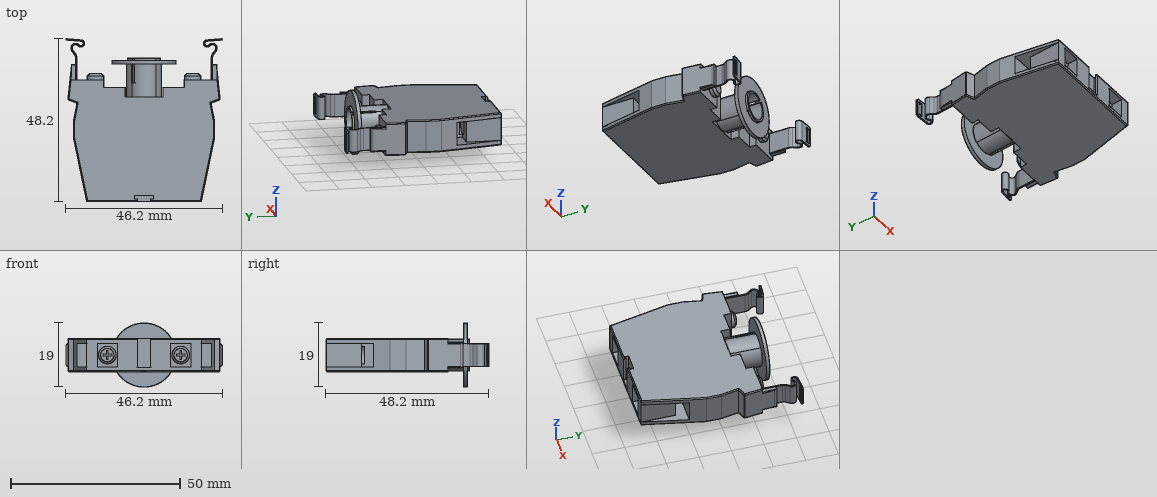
import cadquery as cq
import math

HALF_HEIGHT = 4.95
FRONT_HALF_WIDTH = 16.95
WAIST_HALF_WIDTH = 20.9
WAIST_FRONT_Y = 18.95
WAIST_REAR_Y = 23.6
NECK_HALF_WIDTH = 19.85
NECK_Y = 29.1
SHOULDER_HALF_WIDTH = 22.55
SHOULDER_Y = 30.1
SHOULDER_CHAMFER = 0.2
REAR_HALF_WIDTH = 21.9
REAR_Y = 36.0
EDGE_CHAMFER = 0.35

RECESS_HALF_WIDTH = 11.85
RECESS_Y = 33.7
NOTCH_HALF_WIDTH = 5.55
NOTCH_Y = 30.95

EAR_INNER_X = 20.3
EAR_TIP_Y = 40.45
EAR_TIP_FLAT = 0.67
EAR_HALF_HEIGHT = 3.6
EAR_CHAMFER = 0.3
SIDE_LEAN = (SHOULDER_HALF_WIDTH - REAR_HALF_WIDTH) / (REAR_Y - SHOULDER_Y)
EAR_TIP_X = REAR_HALF_WIDTH - SIDE_LEAN * (EAR_TIP_Y - EAR_TIP_FLAT - REAR_Y)

STUD_X = 14.35
STUD_RADIUS = 2.45
STUD_HEIGHT = 1.9
STUD_CHAMFER = 0.7

T_NECK_HALF_WIDTH = 1.97
T_HEAD_HALF_WIDTH = 2.75
T_NECK_DEPTH = 0.7
T_DEPTH = 1.8
T_FLOOR_Z = -3.65

POCKET_HALF_HEIGHT = 3.45
POCKET_INNER_X = 7.9
POCKET_OUTER_X = 13.82
POCKET_DEPTH = 3.4
SCREW_X = (POCKET_INNER_X + POCKET_OUTER_X) / 2
SCREW_RADIUS = 2.6
SCREW_HOLE_END_Y = 11.4
WIRE_WINDOW_Y = 10.5
WIRE_POCKET_END_Y = 14.0

SCREW_FRONT_Y = 6.75
SCREW_CHAMFER = 0.65
CROSS_LENGTH = 2.65
CROSS_WIDTH = 0.55
CROSS_DEPTH = 0.7

TUBE_SIDE_RADIUS = 5.2
TUBE_NECK_RADIUS = 4.85
TUBE_CENTRE_RADIUS = 4.7
TUBE_CENTRE_HALF_WIDTH = 3.5
TUBE_BORE_RADIUS = 4.15
TUBE_END_Y = 42.4
TUBE_SLOT_WIDTH = 0.75
TUBE_SLOT_START_Y = 35.0
TUBE_SLOT_TILT = 45
DISC_RADIUS = 9.5
DISC_FRONT_Y = 40.65
DISC_THICKNESS = 1.1

CLIP_THICKNESS = 0.45
CLIP_HALF_HEIGHT = 3.4
CLIP_KINK_Y = 43.05
KINK_REACH = 0.6
BEND_RADIUS = 1.2
BEND_X = 20.25
BEND_Y = 45.4
HOOK_RADIUS = 0.85
HOOK_ANGLE = 139.5
TIP_SLOPE = 4.5
TIP_X = 23.1
TIP_CHAMFER = 0.55
WINDOW_START = 0.75
WINDOW_LENGTH = 1.3
WINDOW_HALF_HEIGHT = 2.45


def block(x_range, y_range, z_range):
    """Box between the given pairs of limits."""
    (x0, x1), (y0, y1), (z0, z1) = x_range, y_range, z_range
    return cq.Workplane("XY").box(x1 - x0, y1 - y0, z1 - z0, centered=False).translate((x0, y0, z0))


def y_cylinder(radius, start_y, end_y, x=0):
    """Cylinder along +Y between two Y positions, at Z = 0."""
    plane = cq.Workplane("XZ", origin=(x, start_y, 0))
    return plane.circle(radius).extrude(-(end_y - start_y))


def both_sides(right_hand):
    """A right-hand shape together with its mirror image about X = 0."""
    return [right_hand, right_hand.mirror("YZ")]


def housing_block():
    right_side = [
        (FRONT_HALF_WIDTH, 0),
        (WAIST_HALF_WIDTH, WAIST_FRONT_Y),
        (WAIST_HALF_WIDTH, WAIST_REAR_Y),
        (NECK_HALF_WIDTH, NECK_Y),
        (SHOULDER_HALF_WIDTH, SHOULDER_Y),
        (REAR_HALF_WIDTH, REAR_Y),
    ]
    left_side = [(-x, y) for x, y in reversed(right_side)]
    body = cq.Workplane("XY").polyline(right_side + left_side).close()
    body = body.extrude(HALF_HEIGHT, both=True)
    for corner_x in (-SHOULDER_HALF_WIDTH, SHOULDER_HALF_WIDTH):
        corner = cq.selectors.NearestToPointSelector((corner_x, SHOULDER_Y, 0))
        body = body.edges(corner).chamfer(SHOULDER_CHAMFER)
    body = body.faces("|Z").edges("not >Y").chamfer(EDGE_CHAMFER)
    z_range = (-HALF_HEIGHT, HALF_HEIGHT)
    body = body.cut(block((-RECESS_HALF_WIDTH, RECESS_HALF_WIDTH), (RECESS_Y, REAR_Y), z_range))
    return body.cut(block((-NOTCH_HALF_WIDTH, NOTCH_HALF_WIDTH), (NOTCH_Y, RECESS_Y), z_range))


def ear():
    outline = [
        (EAR_INNER_X, REAR_Y),
        (REAR_HALF_WIDTH, REAR_Y),
        (EAR_TIP_X, EAR_TIP_Y - EAR_TIP_FLAT),
        (EAR_TIP_X, EAR_TIP_Y),
        (EAR_INNER_X, EAR_TIP_Y),
    ]
    plate = cq.Workplane("XY").polyline(outline).close().extrude(EAR_HALF_HEIGHT, both=True)
    outer_middle_x = (REAR_HALF_WIDTH + EAR_TIP_X) / 2
    outer_middle_y = (REAR_Y + EAR_TIP_Y - EAR_TIP_FLAT) / 2
    for z in (-EAR_HALF_HEIGHT, EAR_HALF_HEIGHT):
        nearest = cq.selectors.NearestToPointSelector((outer_middle_x, outer_middle_y, z))
        plate = plate.edges(nearest).chamfer(EAR_CHAMFER)
    return plate


def stud():
    return y_cylinder(STUD_RADIUS, REAR_Y, REAR_Y + STUD_HEIGHT, STUD_X).faces(">Y").chamfer(STUD_CHAMFER)


def t_slot():
    z_range = (T_FLOOR_Z, HALF_HEIGHT)
    neck = block((-T_NECK_HALF_WIDTH, T_NECK_HALF_WIDTH), (0, T_DEPTH), z_range)
    head = block((-T_HEAD_HALF_WIDTH, T_HEAD_HALF_WIDTH), (T_NECK_DEPTH, T_DEPTH), z_range)
    return neck.union(head)


def terminal_cutout():
    """Screw pocket, screw hole and the side wire pocket that breaks into the hole."""
    z_range = (-POCKET_HALF_HEIGHT, POCKET_HALF_HEIGHT)
    pocket = block((POCKET_INNER_X, POCKET_OUTER_X), (0, POCKET_DEPTH), z_range)
    hole = y_cylinder(SCREW_RADIUS, POCKET_DEPTH, SCREW_HOLE_END_Y, SCREW_X)
    side = block((FRONT_HALF_WIDTH, WAIST_HALF_WIDTH), (0, WIRE_POCKET_END_Y), z_range)
    window = block((SCREW_X, WAIST_HALF_WIDTH), (WIRE_WINDOW_Y, WIRE_POCKET_END_Y), z_range)
    return pocket.union(hole).union(side.union(window))


def make_housing():
    body = housing_block().cut(t_slot())
    for added in both_sides(ear()) + both_sides(stud()):
        body = body.union(added)
    for removed in both_sides(terminal_cutout()):
        body = body.cut(removed)
    return body


def make_screw():
    head = y_cylinder(SCREW_RADIUS, SCREW_FRONT_Y, WIRE_WINDOW_Y, SCREW_X).faces("<Y").chamfer(SCREW_CHAMFER)
    face = cq.Workplane("XZ", origin=(SCREW_X, SCREW_FRONT_Y, 0))
    for width, height in ((CROSS_LENGTH, CROSS_WIDTH), (CROSS_WIDTH, CROSS_LENGTH)):
        head = head.cut(face.rect(width, height).extrude(-CROSS_DEPTH))
    return head


def make_tube():
    core = y_cylinder(TUBE_CENTRE_RADIUS, NOTCH_Y, TUBE_END_Y)
    walls = y_cylinder(TUBE_SIDE_RADIUS, NOTCH_Y, DISC_FRONT_Y)
    walls = walls.union(y_cylinder(TUBE_NECK_RADIUS, DISC_FRONT_Y, TUBE_END_Y))
    centre_strip = block(
        (-TUBE_CENTRE_HALF_WIDTH, TUBE_CENTRE_HALF_WIDTH),
        (NOTCH_Y, TUBE_END_Y),
        (-TUBE_SIDE_RADIUS, TUBE_SIDE_RADIUS),
    )
    tube = walls.cut(centre_strip).union(core)
    tube = tube.cut(y_cylinder(TUBE_BORE_RADIUS, NOTCH_Y, TUBE_END_Y))
    slot = block((0, TUBE_SLOT_WIDTH), (TUBE_SLOT_START_Y, TUBE_END_Y), (0, TUBE_SIDE_RADIUS))
    slot = slot.rotate((0, 0, 0), (0, 1, 0), -TUBE_SLOT_TILT)
    return tube.cut(slot)


def make_disc():
    rear_y = DISC_FRONT_Y + DISC_THICKNESS
    disc = y_cylinder(DISC_RADIUS, DISC_FRONT_Y, rear_y)
    return disc.cut(y_cylinder(TUBE_NECK_RADIUS, DISC_FRONT_Y, rear_y))


def polar(centre, radius, degrees):
    angle = math.radians(degrees)
    return (centre[0] + radius * math.cos(angle), centre[1] + radius * math.sin(angle))


def make_clip():
    arm_x = EAR_INNER_X - CLIP_THICKNESS / 2
    kink = (arm_x, CLIP_KINK_Y)
    bend = (BEND_X, BEND_Y)
    hook = polar(bend, BEND_RADIUS + HOOK_RADIUS, HOOK_ANGLE)

    to_kink = math.degrees(math.atan2(kink[1] - bend[1], kink[0] - bend[0]))
    tangent_turn = math.degrees(math.acos(BEND_RADIUS / math.dist(kink, bend)))
    bend_start = to_kink + tangent_turn
    bend_entry = polar(bend, BEND_RADIUS, bend_start)
    bend_middle = (bend_start + HOOK_ANGLE) / 2

    hook_start = HOOK_ANGLE + 180
    hook_end = 90 + TIP_SLOPE
    hook_middle = (hook_start + hook_end) / 2
    tip_start = polar(hook, HOOK_RADIUS, hook_end)
    tip_length = (TIP_X - tip_start[0]) / math.cos(math.radians(TIP_SLOPE))
    tip_end = polar(tip_start, tip_length, TIP_SLOPE)

    centreline = (
        cq.Workplane("XY")
        .moveTo(arm_x, REAR_Y)
        .lineTo(arm_x, CLIP_KINK_Y - KINK_REACH)
        .tangentArcPoint(polar(kink, KINK_REACH, bend_start + 90), relative=False)
        .lineTo(*bend_entry)
        .threePointArc(polar(bend, BEND_RADIUS, bend_middle), polar(bend, BEND_RADIUS, HOOK_ANGLE))
        .threePointArc(polar(hook, HOOK_RADIUS, hook_middle), tip_start)
        .lineTo(*tip_end)
    )
    section = cq.Workplane("XZ", origin=(arm_x, REAR_Y, 0)).rect(CLIP_THICKNESS, 2 * CLIP_HALF_HEIGHT)
    strip = section.sweep(centreline, transition="right")

    strip = strip.faces(">X").edges("not |Z").chamfer(TIP_CHAMFER)
    window = block(
        (TIP_X - WINDOW_START - WINDOW_LENGTH, TIP_X - WINDOW_START),
        (tip_start[1] - CLIP_THICKNESS, tip_end[1] + CLIP_THICKNESS),
        (-WINDOW_HALF_HEIGHT, WINDOW_HALF_HEIGHT),
    )
    return strip.cut(window)


housing = make_housing()
screws = both_sides(make_screw())
tube = make_tube()
disc = make_disc()
clips = both_sides(make_clip())

result = cq.Compound.makeCompound(
    [housing.val(), tube.val(), disc.val()] + [body.val() for body in screws + clips]
)